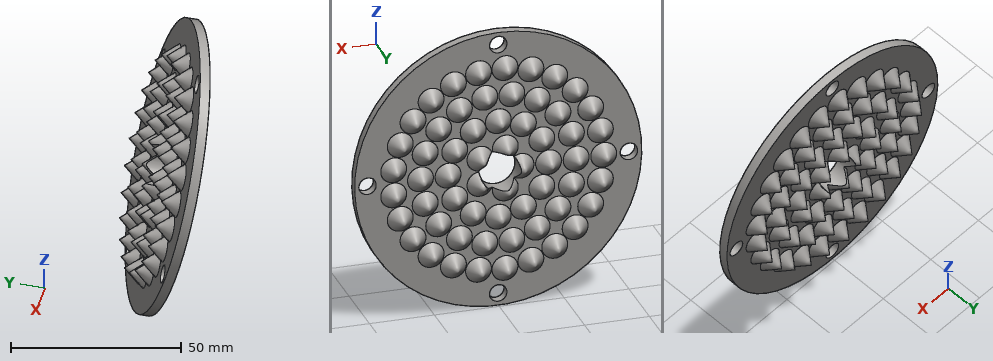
import cadquery as cq
import math

plate_diameter = 88.5
plate_thickness = 3.0
overall_depth = 7.9
bore_diameter = 12.0

mount_hole_diameter = 5.3
mount_circle_radius = 40.3
mount_hole_count = 4

cone_base_diameter = 8.0
cone_height = overall_depth - plate_thickness
cone_embed = 0.2
outer_ring_radius = 32.5
ring_spacing = 8.5
ring_count = 4

back_face_y = -overall_depth / 2
cone_face_y = back_face_y + plate_thickness


def y_cylinder(diameter, length, x=0, z=0):
    """Cylinder along +Y, starting at the plate's flat face."""
    return cq.Solid.makeCylinder(
        diameter / 2, length, cq.Vector(x, back_face_y, z), cq.Vector(0, 1, 0)
    )


def ring_points(radius, count):
    """Evenly spaced (x, z) points on a ring, the first one on the -X axis."""
    step = 2 * math.pi / count
    return [(-radius * math.cos(i * step), radius * math.sin(i * step)) for i in range(count)]


def cone(x, z):
    """Pointed cone standing on a short cylindrical root inside the plate."""
    base_radius = cone_base_diameter / 2
    profile = (
        cq.Workplane("XY")
        .moveTo(0, -cone_embed)
        .lineTo(base_radius, -cone_embed)
        .lineTo(base_radius, 0)
        .lineTo(0, cone_height)
        .close()
    )
    solid = profile.revolve(360, (0, 0), (0, 1))
    return solid.translate((x, cone_face_y, z)).val()


def ring_of_cones(radius):
    """As many whole cones as fit around the ring."""
    count = math.floor(2 * math.pi * radius / cone_base_diameter)
    return [cone(x, z) for x, z in ring_points(radius, count)]


cones = []
for ring in range(ring_count):
    cones += ring_of_cones(outer_ring_radius - ring * ring_spacing)

plate = y_cylinder(plate_diameter, plate_thickness)
body = plate.fuse(*cones)

bore = y_cylinder(bore_diameter, overall_depth)
mount_holes = [
    y_cylinder(mount_hole_diameter, plate_thickness, x, z)
    for x, z in ring_points(mount_circle_radius, mount_hole_count)
]

result = cq.Workplane("XY").newObject([body.cut(bore, *mount_holes)])